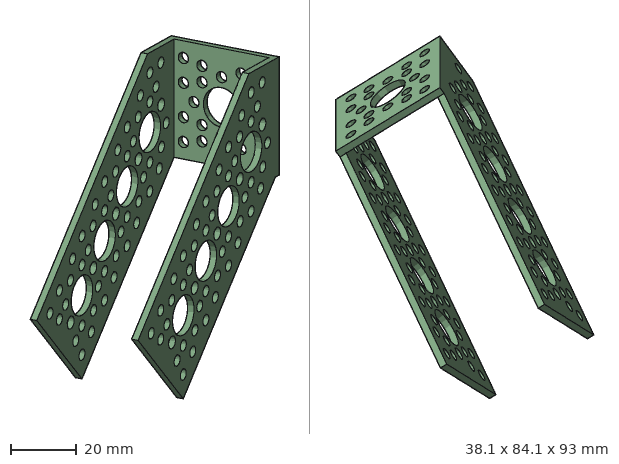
import cadquery as cq
import math

width = 38.1
depth = 84.1
height = 93.0
wall = 2.3

pitch = 19.1
station_count = 4
large_diameter = 12.7
small_diameter = 3.5
middle_diameter = 4.0
ring_radius = 9.8
outer_row = 13.5
outer_pair_half = 4.0
bend_clearance = 4.65

diagonal = ring_radius * math.cos(math.radians(45))
half_width = width / 2

arm_end = (station_count - 1) * pitch + half_width
corner_reach = (arm_end + half_width) / math.sqrt(2)
back_face = depth - corner_reach
top_face = height - corner_reach
back_bottom = top_face - width
back_center = top_face - half_width


def arm_point(along, across):
    """(Y, Z) of a point given along the arm and across it (up and forward positive)."""
    return (-(along + across) / math.sqrt(2), (across - along) / math.sqrt(2))


def ring_points(center):
    """Eight holes around a station on the pattern axis, as (along, across)."""
    points = []
    for step in range(8):
        angle = math.radians(45 * step)
        points.append((center + ring_radius * math.cos(angle), ring_radius * math.sin(angle)))
    return points


def outer_pairs(middle):
    """A pair of holes in each outer row, centred at the given place along the axis."""
    return [
        (middle + end * outer_pair_half, side * outer_row)
        for end in (-1, 1)
        for side in (-1, 1)
    ]


def side_hole_points():
    """(Y, Z) of the small holes in a side wall, including those of the stations cut off at each end."""
    pattern = []
    for index in range(-1, station_count + 1):
        station = index * pitch
        pattern += [point for point in ring_points(station) if abs(point[1]) > small_diameter]
        pattern += outer_pairs(station + pitch / 2)
    inside_end = [arm_point(*point) for point in pattern if point[0] < arm_end - small_diameter]
    return [point for point in inside_end if point[0] < back_face - bend_clearance]


def middle_hole_points():
    """(Y, Z) of the holes on the arm axis, before, between and after the stations."""
    return [arm_point((index - 0.5) * pitch, 0) for index in range(station_count + 1)]


def back_hole_points():
    """(X, Z) of the small holes in the back wall, whose pattern axis is vertical."""
    pattern = ring_points(0)
    for end in (-1, 1):
        pattern += outer_pairs(end * pitch / 2)
        pattern += [(end * (pitch - diagonal), side * diagonal) for side in (-1, 1)]
    return [(across, back_center + along) for along, across in pattern]


def side_cylinders(points, diameter):
    """Cylinders along X through both side walls."""
    plane = cq.Workplane("YZ", origin=(-half_width, 0, 0))
    return plane.pushPoints(points).circle(diameter / 2).extrude(width)


def back_cylinders(points, diameter):
    """Cylinders along Y through the back wall."""
    plane = cq.Workplane("XZ", origin=(0, back_face, 0))
    return plane.pushPoints(points).circle(diameter / 2).extrude(wall)


def side_wall(x_start):
    """Side wall: a square-ended 45 degree arm whose upper end follows the back wall."""
    top_edge_y = -math.sqrt(2) * half_width + top_face
    lower_edge_y = math.sqrt(2) * half_width + back_bottom
    outline = [
        (back_face, top_face),
        (top_edge_y, top_face),
        arm_point(arm_end, half_width),
        arm_point(arm_end, -half_width),
        (lower_edge_y, back_bottom),
        (back_face, back_bottom),
    ]
    return cq.Workplane("YZ", origin=(x_start, 0, 0)).polyline(outline).close().extrude(wall)


back_wall = cq.Workplane("XY").box(width, wall, width).translate((0, back_face - wall / 2, back_center))
channel = back_wall.union(side_wall(-half_width)).union(side_wall(half_width - wall))

stations = [arm_point(index * pitch, 0) for index in range(station_count)]
channel = channel.cut(side_cylinders(side_hole_points(), small_diameter))
channel = channel.cut(side_cylinders(middle_hole_points(), middle_diameter))
channel = channel.cut(side_cylinders(stations, large_diameter))

channel = channel.cut(back_cylinders(back_hole_points(), small_diameter))
channel = channel.cut(back_cylinders([(0, back_center)], large_diameter))

result = channel